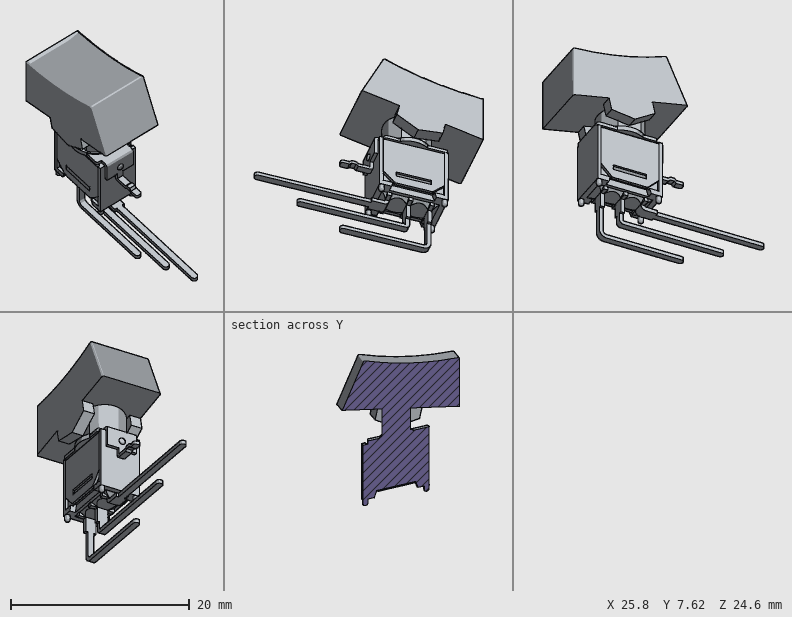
import cadquery as cq
import math


body_length = 8.15
body_width = 5.06
body_height = 7.3
recess_depth = 0.35
recess_half_length = 3.65
recess_floor_z = 0.65
panel_setback = 0.03
panel_bottom_z = 0.72
panel_corner = 1.42
panel_top_chamfer = 0.23
ramp_length = 4.15
ramp_bottom_z = 1.8
ramp_top_z = 2.43
ramp_depth = 0.25
notch_depth = 0.7
notch_height = 0.85
notch_top_half = 2.38
notch_bottom_half = 2.65

foot_diameter = 0.65
foot_straight = 0.47

plate_thickness = 0.41
plate_end_x = 3.45
plate_corner_radius = 0.25
tab_half_width = 1.89
tab_step_z = 5.22
arm_bottom_z = 4.05
arm_width = 0.78
arm_end_x = 7.88
arm_tip_radius = 0.25
tab_bend_radius = 0.4
hump_x = 6.38
hump_height = 0.23
hump_crest = 0.52
hump_run = 0.25
bump_z = 6.2
bump_diameter = 0.8
bump_height = 0.18
bump_edge_radius = 0.15

collar_diameter = 6.0
neck_diameter = 5.6
neck_width = 4.8
collar_top_z = 7.88
neck_top_z = 11.89

pitch = 2.53
wire_thickness = 0.5
wire_width = 0.78
blade_width = 1.37
blade_length = 2.25
shoulder_width = 3.05
shoulder_length = 0.47
lowest_z = -6.18
longest_x = 18.05
third_blade_end_x = 4.37
bend_radii = (0.45, 0.03, 0.13)

seal_depth = 0.41
seal_sag_z = -0.15
seal_end = 3.4
seal_top_width = 2.9

cap_width = 7.62
tilt = 12.1
cap_center_x = -0.57
cap_center_z = 10.95
cap_bottom_half = 7.36
cap_height = 6.38
flare = 12.0
cap_sag = 0.52
cap_edge_radius = 0.23
skirt_half = 2.8
skirt_side = 1.5
skirt_point = 2.5
skirt_overlap = 0.25


def box(x0, x1, y0, y1, z0, z1):
    return cq.Workplane("XY").box(x1 - x0, y1 - y0, z1 - z0, centered=False).translate((x0, y0, z0))


def extrude_across(outline, width):
    """Extrude an XZ outline by `width`, centred on Y = 0."""
    return outline.extrude(width / 2, both=True)


def wall_relief(body):
    """Pocket, notch, panel and catch ramp of the front wall."""
    face_y = -body_width / 2
    floor_y = face_y + recess_depth
    panel_y = face_y + panel_setback
    half = recess_half_length

    body = body.cut(box(-half, half, face_y, floor_y, recess_floor_z, body_height))
    notch = (
        cq.Workplane("XZ", origin=(0, face_y, 0))
        .polyline([(-notch_bottom_half, 0), (notch_bottom_half, 0),
                   (notch_top_half, notch_height), (-notch_top_half, notch_height)])
        .close().extrude(-notch_depth)
    )
    body = body.cut(notch)

    panel = (
        cq.Workplane("XZ", origin=(0, panel_y, 0))
        .polyline([(-half, body_height), (-half, panel_bottom_z + panel_corner),
                   (-half + panel_corner, panel_bottom_z), (half - panel_corner, panel_bottom_z),
                   (half, panel_bottom_z + panel_corner), (half, body_height)])
        .close().extrude(panel_y - floor_y)
        .faces(">Z").edges("<Y").chamfer(panel_top_chamfer)
    )
    body = body.union(panel)

    ramp = (
        cq.Workplane("YZ", origin=(-ramp_length / 2, 0, 0))
        .polyline([(panel_y, ramp_bottom_z), (panel_y, ramp_top_z), (panel_y + ramp_depth, ramp_top_z)])
        .close().extrude(ramp_length)
    )
    return body.cut(ramp)


def make_housing():
    body = cq.Workplane("XY").box(body_length, body_width, body_height, centered=(True, True, False))
    for _ in range(2):
        body = wall_relief(body).rotate((0, 0, 0), (0, 0, 1), 180)
    radius = foot_diameter / 2
    foot = (
        cq.Workplane("XY").circle(radius).extrude(-foot_straight)
        .union(cq.Workplane("XY").sphere(radius).translate((0, 0, -foot_straight)))
        .intersect(box(-radius, radius, -radius, radius, -foot_straight - radius, 0))
    )
    for side_x in (-1, 1):
        for side_y in (-1, 1):
            body = body.union(foot.translate((side_x * (body_length / 2 - radius),
                                              side_y * (body_width / 2 - radius), 0)))
    return body


def round_tip(start_x, end_x, z0, z1):
    """Bar volume that trims a strip along X to the wire width and a semicircular tip."""
    radius = wire_width / 2
    bar = box(start_x, end_x - radius, -radius, radius, z0, z1)
    tip = cq.Workplane("XY", origin=(end_x - radius, 0, z0)).circle(radius).extrude(z1 - z0)
    return bar.union(tip)


def make_bracket():
    z0 = body_height
    z1 = body_height + plate_thickness
    half_length = body_length / 2
    outer_x = half_length + plate_thickness
    plate = (
        box(-half_length, plate_end_x, -body_width / 2, body_width / 2, z0, z1)
        .edges("|Z").fillet(plate_corner_radius)
    )
    tab = (
        box(0, outer_x, -tab_half_width, tab_half_width, z0, z1)
        .union(box(half_length, outer_x, -tab_half_width, tab_half_width, tab_step_z, z1))
        .edges(">X and >Z").fillet(tab_bend_radius)
    )

    low = arm_bottom_z
    high = arm_bottom_z + plate_thickness
    crest0 = hump_x - hump_crest / 2
    crest1 = hump_x + hump_crest / 2
    arm_outline = (
        cq.Workplane("XZ")
        .moveTo(half_length, tab_step_z)
        .lineTo(half_length, low + tab_bend_radius)
        .radiusArc((half_length + tab_bend_radius, low), -tab_bend_radius)
        .lineTo(crest0 - hump_run, low)
        .lineTo(crest0, low + hump_height)
        .lineTo(crest1, low + hump_height)
        .lineTo(crest1 + hump_run, low)
        .lineTo(arm_end_x, low)
        .lineTo(arm_end_x, high)
        .lineTo(crest1 + hump_run, high)
        .lineTo(crest1, high + hump_height)
        .lineTo(crest0, high + hump_height)
        .lineTo(crest0 - hump_run, high)
        .lineTo(outer_x, high)
        .lineTo(outer_x, tab_step_z)
        .close()
    )
    arm = extrude_across(arm_outline, arm_width).edges(">X and |Z").fillet(arm_tip_radius)

    bump = (
        cq.Workplane("YZ", origin=(outer_x, 0, bump_z))
        .circle(bump_diameter / 2).extrude(bump_height)
        .faces(">X").edges().fillet(bump_edge_radius)
    )
    return plate.union(tab).union(arm).union(bump)


def make_neck():
    collar = cq.Workplane("XY").circle(collar_diameter / 2).extrude(collar_top_z - body_height)
    neck = (
        cq.Workplane("XY").circle(neck_diameter / 2).extrude(neck_top_z - body_height)
        .intersect(cq.Workplane("XY").box(neck_diameter, neck_width, 2 * neck_top_z))
    )
    return collar.union(neck).translate((0, 0, body_height))


def make_terminal(x, bottom_z, end_x, inner_radius, blade_zone):
    """Bent terminal: shoulder at the housing, wide blade inside `blade_zone`, then a narrow wire."""
    left = x - wire_thickness / 2
    right = x + wire_thickness / 2
    top_z = bottom_z + wire_thickness
    outer_radius = inner_radius + wire_thickness
    outline = (
        cq.Workplane("XZ")
        .moveTo(left, 0)
        .lineTo(left, bottom_z + outer_radius)
        .radiusArc((left + outer_radius, bottom_z), -outer_radius)
        .lineTo(end_x, bottom_z)
        .lineTo(end_x, top_z)
        .lineTo(right + inner_radius, top_z)
        .radiusArc((right, top_z + inner_radius), inner_radius)
        .lineTo(right, 0)
        .close()
    )
    strip = extrude_across(outline, blade_width)
    wire = strip.intersect(round_tip(left, end_x, bottom_z, 0))
    blade = strip.intersect(blade_zone)
    shoulder = box(left, right, -shoulder_width / 2, shoulder_width / 2, -shoulder_length, 0)
    return wire.union(blade).union(shoulder)


def make_terminals():
    terminals = cq.Workplane("XY")
    for index, inner_radius in enumerate(bend_radii):
        x = (index - 1) * pitch
        bottom_z = lowest_z + index * pitch
        end_x = longest_x - (2 - index) * 2 * pitch
        blade_end_x = third_blade_end_x if index == 2 else x + wire_thickness
        blade_zone = box(x - wire_thickness, blade_end_x, -blade_width, blade_width, -blade_length, 0)
        terminals = terminals.union(make_terminal(x, bottom_z, end_x, inner_radius, blade_zone))
    return terminals


def make_seal():
    """Sealing compound that sags between the terminals and thins out to the sides."""
    half_wire = wire_thickness / 2
    edge = pitch + half_wire
    slope_x = (seal_end + edge) / 2
    outline = (
        cq.Workplane("XZ")
        .moveTo(-seal_end, 0)
        .threePointArc((-slope_x, seal_sag_z), (-edge, -seal_depth))
        .lineTo(-pitch + half_wire, -seal_depth)
        .threePointArc((-pitch / 2, seal_sag_z), (-half_wire, -seal_depth))
        .lineTo(half_wire, -seal_depth)
        .threePointArc((pitch / 2, seal_sag_z), (pitch - half_wire, -seal_depth))
        .lineTo(edge, -seal_depth)
        .threePointArc((slope_x, seal_sag_z), (seal_end, 0))
        .close()
    )
    side_taper = (
        cq.Workplane("YZ", origin=(-seal_end, 0, 0))
        .polyline([(-seal_top_width / 2, 0), (-blade_width / 2, -seal_depth),
                   (blade_width / 2, -seal_depth), (seal_top_width / 2, 0)])
        .close().extrude(2 * seal_end)
    )
    return extrude_across(outline, seal_top_width).intersect(side_taper)


def make_cap():
    top_half = cap_bottom_half - cap_height * math.tan(math.radians(flare))
    block = extrude_across(
        cq.Workplane("XZ")
        .moveTo(-cap_bottom_half, 0)
        .lineTo(-top_half, cap_height)
        .threePointArc((0, cap_height - cap_sag), (top_half, cap_height))
        .lineTo(cap_bottom_half, 0)
        .close(),
        cap_width,
    )
    sharp_corner = block.faces("<X").edges(">Y").val()
    rounded = [edge for edge in block.edges("not <Z").vals() if not edge.isSame(sharp_corner)]
    block = block.newObject(rounded).fillet(cap_edge_radius)
    skirt = extrude_across(
        cq.Workplane("XZ")
        .polyline([(-skirt_half, skirt_overlap), (-skirt_half, -skirt_side), (0, -skirt_point),
                   (skirt_half, -skirt_side), (skirt_half, skirt_overlap)])
        .close(),
        cap_width,
    )
    skirt = skirt.cut(box(-skirt_half, skirt_half, -neck_width / 2, neck_width / 2, -skirt_point, 0))
    return (
        block.union(skirt)
        .rotate((0, 0, 0), (0, 1, 0), -tilt)
        .translate((cap_center_x, 0, cap_center_z))
    )


result = (
    make_housing()
    .union(make_bracket())
    .union(make_neck())
    .union(make_terminals())
    .union(make_seal())
    .union(make_cap())
)